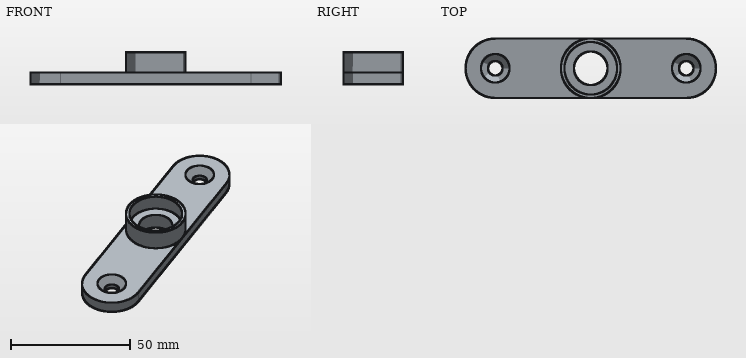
import cadquery as cq

length = 105.0
width = 25.0
plate_thickness = 5.0

total_height = 13.5
cup_diameter = width
cup_bore_diameter = 22.0
cup_depth = 6.5
cup_floor_height = total_height - cup_depth
center_hole_diameter = 14.0

screw_spacing = length - width
screw_hole_diameter = 6.0
countersink_diameter = 12.0
countersink_angle = 90.0


def make_plate():
    return cq.Workplane("XY").slot2D(length, width).extrude(plate_thickness)


def add_cup(body):
    cup = cq.Workplane("XY").circle(cup_diameter / 2).extrude(total_height)
    bore = (
        cq.Workplane("XY", origin=(0, 0, cup_floor_height))
        .circle(cup_bore_diameter / 2)
        .extrude(cup_depth)
    )
    center_hole = cq.Workplane("XY").circle(center_hole_diameter / 2).extrude(total_height)
    return body.union(cup).cut(bore).cut(center_hole)


def cut_screw_holes(body):
    return (
        body.copyWorkplane(cq.Workplane("XY", origin=(0, 0, plate_thickness)))
        .pushPoints([(-screw_spacing / 2, 0), (screw_spacing / 2, 0)])
        .cskHole(screw_hole_diameter, countersink_diameter, countersink_angle)
    )


plate = make_plate()
plate_with_screw_holes = cut_screw_holes(plate)
result = add_cup(plate_with_screw_holes)